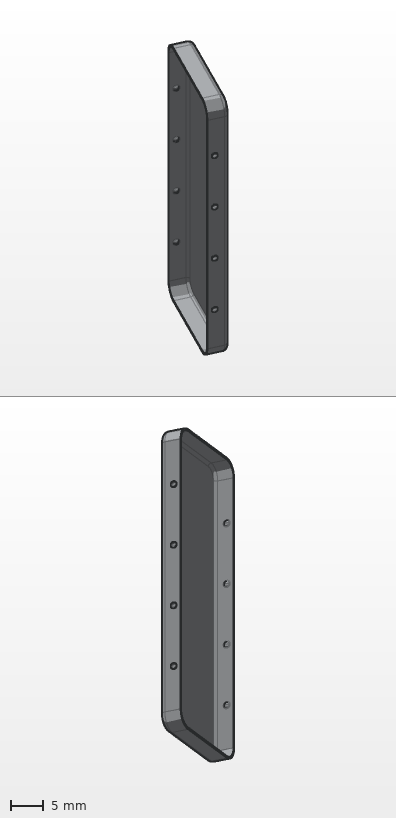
import cadquery as cq
import math

width = 17.9
depth = 3.5
height = 49.4
wall = 0.3
corner_radius = 2.45
floor_edge_radius = 0.8

dent_count = 4
dent_pitch = 10.0
dent_setback = 1.2
dent_radius = 0.5
bump_radius = 0.6
bump_blend = 0.15


def rounded_block(inset):
    """Solid inside the tray's outer skin, inset evenly from walls and floor."""
    return (
        cq.Workplane("XZ")
        .rect(width - 2 * inset, height - 2 * inset)
        .extrude(inset - depth)
        .edges("|Y")
        .fillet(corner_radius - inset)
        .faces(">Y")
        .edges()
        .fillet(floor_edge_radius - inset)
    )


def dent_centres():
    """Dent positions, evenly spaced about mid-height on both long walls."""
    first_z = -dent_pitch * (dent_count - 1) / 2
    return [
        cq.Vector(side * width / 2, dent_setback, first_z + row * dent_pitch)
        for side in (-1, 1)
        for row in range(dent_count)
    ]


def bump_plug():
    """Solid bump rising along +X from an outer face at X = 0, with its foot blended into the inner wall."""
    blend_x = wall + bump_blend
    centre_distance = bump_radius + bump_blend
    foot_radius = math.sqrt(centre_distance**2 - blend_x**2)
    touch_scale = bump_radius / centre_distance
    foot_angle = math.atan2(foot_radius, blend_x)

    blend_angle = (math.pi + foot_angle + math.pi) / 2
    blend_mid = (
        blend_x + bump_blend * math.cos(blend_angle),
        foot_radius + bump_blend * math.sin(blend_angle),
    )
    dome_mid = (
        bump_radius * math.cos(foot_angle / 2),
        bump_radius * math.sin(foot_angle / 2),
    )
    return (
        cq.Workplane("XY")
        .lineTo(0, foot_radius)
        .lineTo(wall, foot_radius)
        .threePointArc(blend_mid, (blend_x * touch_scale, foot_radius * touch_scale))
        .threePointArc(dome_mid, (bump_radius, 0))
        .close()
        .revolve(360, (0, 0), (1, 0))
    )


def cut_at_dents(body, tool):
    """Remove the tool at every dent centre, with its X axis pointing into the tray."""
    for centre in dent_centres():
        turn = 180 if centre.x > 0 else 0
        placed = tool.rotate((0, 0, 0), (0, 0, 1), turn).translate(centre)
        body = body.cut(placed, clean=False)
    return body


cavity = cut_at_dents(rounded_block(wall), bump_plug())
tray = rounded_block(0).cut(cavity, clean=False)

result = cut_at_dents(tray, cq.Workplane("XZ").sphere(dent_radius))